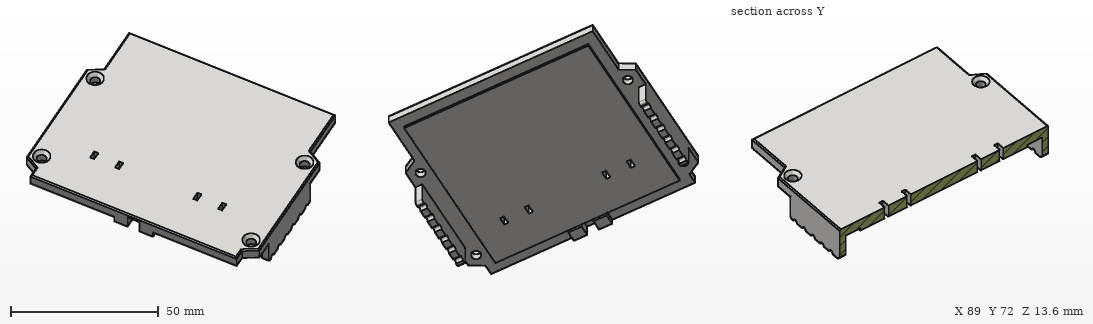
import cadquery as cq
import math

length = 89.0
width = 72.0
height = 13.6
plate_thickness = 4.2
edge_chamfer = 0.5

body_length = 78.85
wing_front_y = -29.1
wing_back_y = 14.9
taper_angle = 30.0

pad_length = 71.2
pad_width = 64.1
pad_height = 1.0

screw_spacing_x = 80.1
screw_spacing_y = 39.0
screw_diameter = 3.4
countersink_diameter = 6.0
countersink_angle = 90.0

slot_size_x = 1.5
slot_size_y = 3.0
slot_y = -18.0
slot_distances = (14.95, 24.5)

leg_thickness = 2.7
leg_width = 30.3
leg_corner_radius = 1.0
scallop_count = 6
scallop_pitch = 5.0
scallop_radius = 1.0

foot_length = 14.9
foot_bottom_z = -6.4
notch_length = 4.5
notch_top_z = -1.6

wing_center_y = (wing_front_y + wing_back_y) / 2
foot_depth = (width - pad_width) / 2


def make_plate():
    taper = (length - body_length) / 2 * math.tan(math.radians(taper_angle))
    right_side = [
        (body_length / 2, -width / 2),
        (body_length / 2, wing_front_y - taper),
        (length / 2, wing_front_y),
        (length / 2, wing_back_y),
        (body_length / 2, wing_back_y + taper),
        (body_length / 2, width / 2),
    ]
    left_side = [(-x, y) for x, y in reversed(right_side)]
    plate = cq.Workplane("XY").polyline(right_side + left_side).close().extrude(-plate_thickness)
    return plate.faces(">Z").chamfer(edge_chamfer)


def make_pad():
    return (
        cq.Workplane("XY")
        .workplane(offset=-plate_thickness)
        .rect(pad_length, pad_width)
        .extrude(-pad_height)
    )


def make_leg(outer_x, inward):
    """Leg growing from outer_x toward the middle; inward is +1 or -1 along X."""
    leg_height = height - plate_thickness
    leg = (
        cq.Workplane("YZ", origin=(outer_x, wing_center_y, -plate_thickness - leg_height / 2))
        .rect(leg_width, leg_height)
        .extrude(inward * leg_thickness)
        .edges("|X and <Z")
        .fillet(leg_corner_radius)
    )
    scallops = (
        cq.Workplane("YZ", origin=(outer_x, wing_center_y, -height))
        .rarray(scallop_pitch, 0.9, scallop_count, 1)
        .circle(scallop_radius)
        .extrude(inward * leg_thickness)
    )
    return leg.cut(scallops)


def make_front_block(block_length, top_z):
    """Block at the middle of the front edge, from the foot's underside up to top_z."""
    block = cq.Workplane("XY").box(
        block_length, foot_depth, top_z - foot_bottom_z, centered=(True, False, False)
    )
    return block.translate((0, -width / 2, foot_bottom_z))


def cut_screw_holes(body):
    return (
        body.faces(">Z")
        .workplane(origin=(0, wing_center_y, 0))
        .rect(screw_spacing_x, screw_spacing_y, forConstruction=True)
        .vertices()
        .cskHole(screw_diameter, countersink_diameter, countersink_angle)
    )


def cut_slots(body):
    slot_centers = [(side * x, slot_y) for side in (-1, 1) for x in slot_distances]
    slots = (
        cq.Workplane("XY")
        .pushPoints(slot_centers)
        .rect(slot_size_x, slot_size_y)
        .extrude(-plate_thickness - pad_height)
    )
    return body.cut(slots)


foot = make_front_block(foot_length, -plate_thickness)
notch = make_front_block(notch_length, notch_top_z)

cover = make_plate().union(make_pad()).union(foot).cut(notch)
cover = cut_slots(cut_screw_holes(cover))
for side in (-1, 1):
    cover = cover.union(make_leg(side * length / 2, -side))

result = cover